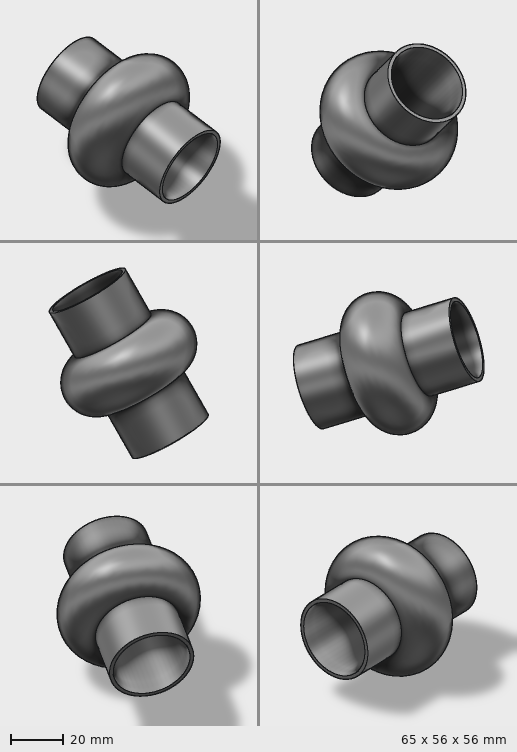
import cadquery as cq

tube_length = 65.0
tube_diameter = 33.5
bore_diameter = 30.5

ring_diameter = 56.0
ring_width = 25.0
section_radius = ring_width / 2
section_center = ring_diameter / 2 - section_radius


def cylinder_along_x(diameter):
    """Full-length cylinder centred on the origin."""
    return cq.Workplane("YZ").circle(diameter / 2).extrude(tube_length / 2, both=True)


def round_ring():
    """Circular section swept around the X axis."""
    return (
        cq.Workplane("XY")
        .center(0, section_center)
        .circle(section_radius)
        .revolve(360, (0, -section_center), (1, -section_center))
    )


result = cylinder_along_x(tube_diameter).union(round_ring()).cut(cylinder_along_x(bore_diameter))